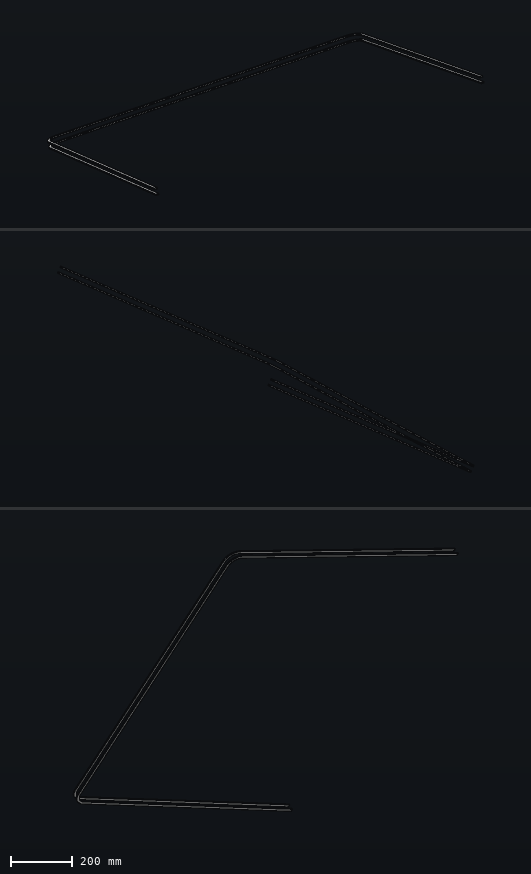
import cadquery as cq
import math

frame_length = 967.0
size_y = 1184.0
tilt_degrees = 31.7
bar_width = 10.0
bar_thickness = 5.0
frame_pitch = 20.0
outer_bend_radius = 46.0
splay_degrees = 2.85

splay = math.radians(splay_degrees)
inner_bend_radius = outer_bend_radius - bar_width
splayed_bar_width = bar_width / math.cos(splay)
corner_y = size_y - frame_length * math.tan(splay)
inner_corner_y = corner_y + bar_width * math.tan(splay) - splayed_bar_width

OUTER_CORNERS = [(0, 0), (0, corner_y)]
INNER_CORNERS = [(bar_width, bar_width), (bar_width, inner_corner_y)]


def round_corners(body, corners, radius):
    """Round the edges that cross the frame plane at the given corners."""
    for x, y in corners:
        edge = cq.selectors.NearestToPointSelector((x, y, bar_thickness / 2))
        body = body.edges("|Z").edges(edge).fillet(radius)
    return body


def make_frame(height):
    """Flat U-shaped frame, raised by height across its plane, then tilted."""
    outline = [
        (frame_length, 0),
        *OUTER_CORNERS,
        (frame_length, size_y),
        (frame_length, size_y - splayed_bar_width),
        *reversed(INNER_CORNERS),
        (frame_length, bar_width),
    ]
    frame = cq.Workplane("XY").polyline(outline).close().extrude(bar_thickness)
    frame = round_corners(frame, OUTER_CORNERS, outer_bend_radius)
    frame = round_corners(frame, INNER_CORNERS, inner_bend_radius)
    return frame.translate((0, 0, height)).rotate((0, 0, 0), (0, 1, 0), -tilt_degrees)


frames = [make_frame(height).val() for height in (0, frame_pitch)]

result = cq.Compound.makeCompound(frames)